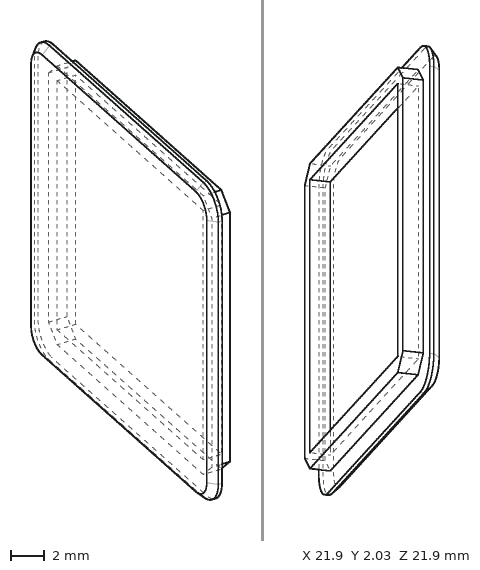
import cadquery as cq

plate_side = 21.85
plate_thickness = 0.76
plate_corner_radius = 1.81
bevel = 0.5

total_depth = 2.03
rim_inset = 1.25
rim_corner_cut = 1.03
rim_wall = 1.03

rim_side = plate_side - 2 * rim_inset
rim_height = total_depth - plate_thickness
recess_side = rim_side - 2 * rim_wall


def square_block(side, front_y, depth):
    """Square block centred on the Y axis, reaching back (+Y) from front_y."""
    return (
        cq.Workplane("XZ", origin=(0, front_y, 0))
        .rect(side, side)
        .extrude(-depth)
    )


def make_plate():
    plate = square_block(plate_side, 0, plate_thickness)
    plate = plate.edges("|Y").fillet(plate_corner_radius)
    return plate.faces("<Y").chamfer(bevel)


def make_rim():
    block = square_block(rim_side, plate_thickness, rim_height)
    block = block.edges("|Y").chamfer(rim_corner_cut)
    recess = square_block(recess_side, plate_thickness, rim_height)
    return block.cut(recess)


result = make_plate().union(make_rim())